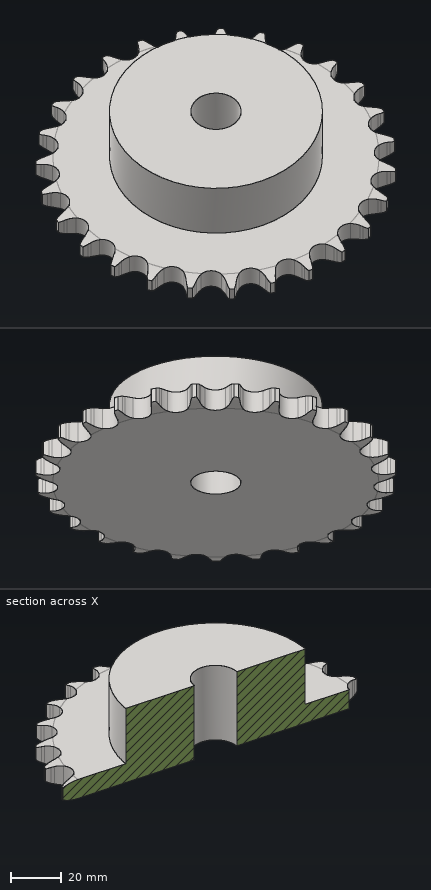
import cadquery as cq
import math

tooth_count = 27
chain_pitch = 15.875
roller_diameter = 10.16

tip_diameter = 144.0
plate_thickness = 9.1
total_height = 35.0
hub_diameter = 85.0
bore_diameter = 20.0

side_radius = 16.0
side_relief = 1.6

tooth_angle = 360.0 / tooth_count
half_tooth_angle = tooth_angle / 2
pitch_radius = chain_pitch / (2 * math.sin(math.radians(half_tooth_angle)))
tip_radius = tip_diameter / 2

seat_clearance = 0.0762
seat_radius = (1.005 * roller_diameter + seat_clearance) / 2
seat_end_angle = 35 + 60 / tooth_count
working_sweep = 18 - 56 / tooth_count
topping_angle = 17 - 64 / tooth_count
working_center_offset = 0.8 * roller_diameter
topping_center_offset = 1.4 * roller_diameter
working_radius = working_center_offset + seat_radius
straight_length = (
    topping_center_offset * math.sin(math.radians(topping_angle))
    - working_center_offset * math.sin(math.radians(working_sweep))
)
topping_radius = (
    working_center_offset * math.cos(math.radians(working_sweep))
    + topping_center_offset * math.cos(math.radians(topping_angle))
    - working_radius
)


def polar(radius, degrees):
    """Point at a radius and an angle measured from +X."""
    angle = math.radians(degrees)
    return (radius * math.cos(angle), radius * math.sin(angle))


def offset(point, radius, degrees):
    """Point at a polar distance from another point."""
    dx, dy = polar(radius, degrees)
    return (point[0] + dx, point[1] + dy)


def direction(start, end):
    """Angle in degrees of the line from one point to another."""
    return math.degrees(math.atan2(end[1] - start[1], end[0] - start[0]))


def mirrored(point):
    return (point[0], -point[1])


def tooth_gap():
    """Cutter for one tooth gap, centred on the +X axis."""
    roller_center = (pitch_radius, 0)
    seat_bottom = offset(roller_center, seat_radius, 180)

    seat_normal = 90 + seat_end_angle
    flank_normal = seat_normal - working_sweep
    seat_end = offset(roller_center, seat_radius, seat_normal)

    working_center = offset(roller_center, working_center_offset, seat_normal + 180)
    working_middle = offset(working_center, working_radius, (seat_normal + flank_normal) / 2)
    working_end = offset(working_center, working_radius, flank_normal)

    straight_end = offset(working_end, straight_length, flank_normal - 90)
    topping_center = offset(straight_end, topping_radius, flank_normal)

    center_distance = math.hypot(*topping_center)
    cos_corner = (tip_radius**2 + center_distance**2 - topping_radius**2) / (2 * tip_radius * center_distance)
    tip_angle = direction((0, 0), topping_center) - math.degrees(math.acos(cos_corner))
    flank_tip = polar(tip_radius, tip_angle)
    topping_start_angle = direction(topping_center, straight_end)
    topping_end_angle = direction(topping_center, flank_tip)
    topping_middle = offset(topping_center, topping_radius, (topping_start_angle + topping_end_angle) / 2)

    outer_corner = (tip_radius + seat_radius, flank_tip[1])
    return (
        cq.Workplane("XY")
        .moveTo(*outer_corner)
        .lineTo(*flank_tip)
        .threePointArc(topping_middle, straight_end)
        .lineTo(*working_end)
        .threePointArc(working_middle, seat_end)
        .threePointArc(seat_bottom, mirrored(seat_end))
        .threePointArc(mirrored(working_middle), mirrored(working_end))
        .lineTo(*mirrored(straight_end))
        .threePointArc(mirrored(topping_middle), mirrored(flank_tip))
        .lineTo(*mirrored(outer_corner))
        .close()
        .extrude(plate_thickness)
    )


def plate_blank():
    """Revolved disc whose rim is rounded towards both faces."""
    arc_depth = math.sqrt(side_radius**2 - (side_radius - side_relief) ** 2)
    face_radius = tip_radius - arc_depth
    half_sweep = math.asin(arc_depth / side_radius) / 2
    middle_radius = face_radius + side_radius * math.sin(half_sweep)
    middle_drop = side_radius * (1 - math.cos(half_sweep))
    return (
        cq.Workplane("XZ")
        .moveTo(0, 0)
        .lineTo(face_radius, 0)
        .threePointArc((middle_radius, middle_drop), (tip_radius, side_relief))
        .lineTo(tip_radius, plate_thickness - side_relief)
        .threePointArc((middle_radius, plate_thickness - middle_drop), (face_radius, plate_thickness))
        .lineTo(0, plate_thickness)
        .close()
        .revolve(360, (0, 0), (0, 1))
    )


def toothed_plate():
    """Plate with one tooth pointing along -Y."""
    plate = plate_blank()
    gap = tooth_gap()
    first_gap_angle = -90 + half_tooth_angle
    for index in range(tooth_count):
        gap_angle = first_gap_angle + index * tooth_angle
        plate = plate.cut(gap.rotate((0, 0, 0), (0, 0, 1), gap_angle))
    return plate


hub = cq.Workplane("XY").circle(hub_diameter / 2).extrude(total_height)
bore = cq.Workplane("XY").circle(bore_diameter / 2).extrude(total_height)
result = toothed_plate().union(hub).cut(bore)